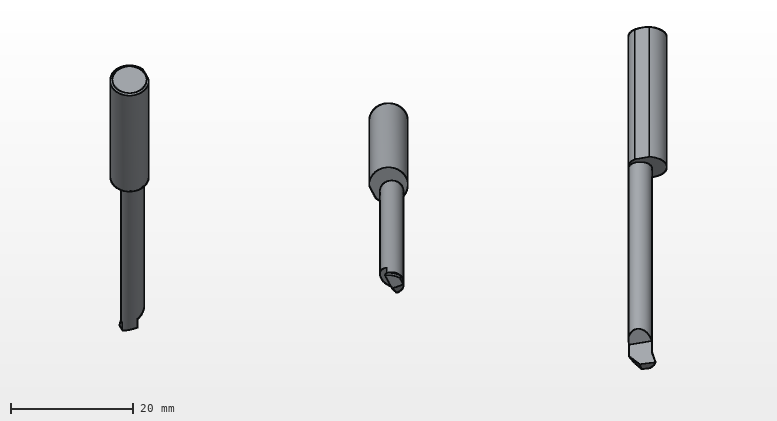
import cadquery as cq

total_length = 63.5
shank_length = 25.4
shank_radius = 3.2
shank_flat_y = 2.9
shank_bottom = total_length - shank_length

chamfer_height = 0.2
chamfer_width = 0.4

neck_radius = 1.935
neck_x = shank_radius - neck_radius

rake_runout_low = 4.25
rake_runout_high = 5.8

head_height = 2.15
tip_x = -1.4
head_lean = 0.65
facet_left = 0.1
facet_right = 1.35
flank_bulge = 0.1
end_slope_x = 0.05
end_slope_y = 0.12
back_chamfer_top = 2.0

margin = 1.3


def end_height(x, y):
    """Height of the sloping end face, lowest at the cutting tip."""
    return end_slope_x * (x - tip_x) - end_slope_y * y


def make_shank():
    shank = cq.Workplane("XY").workplane(offset=shank_bottom).circle(shank_radius).extrude(shank_length)
    shank = shank.faces(">Z").chamfer(chamfer_height, chamfer_width)
    flat_cut = cq.Workplane("XY").box(
        2 * shank_radius, margin, shank_length, centered=(True, False, False)
    ).translate((0, shank_flat_y, shank_bottom))
    return shank.cut(flat_cut)


def make_neck():
    neck = cq.Workplane("XY").center(neck_x, 0).circle(neck_radius).extrude(shank_bottom)
    outer_y = neck_radius + margin
    runout_slope = (rake_runout_high - rake_runout_low) / neck_radius
    rake_cut = (
        cq.Workplane("YZ")
        .moveTo(0, -margin)
        .lineTo(outer_y, -margin)
        .lineTo(outer_y, rake_runout_low + runout_slope * outer_y)
        .lineTo(0, rake_runout_low)
        .close()
        .extrude(2 * shank_radius, both=True)
    )
    head_space = cq.Workplane("XY").box(
        2 * shank_radius, 2 * shank_radius, head_height, centered=(False, True, False)
    ).translate((facet_right - 2 * shank_radius, 0, 0))
    return neck.cut(rake_cut).cut(head_space)


def head_section(z, lean):
    """Head outline: rake edge, convex flank and front facet."""
    middle_x = (tip_x + facet_left) / 2 + lean - flank_bulge
    middle_y = -neck_radius / 2 - flank_bulge
    outline = (
        cq.Workplane("XY")
        .workplane(offset=z)
        .moveTo(facet_right, 0)
        .lineTo(tip_x + lean, 0)
        .threePointArc((middle_x, middle_y), (facet_left + lean, -neck_radius))
        .lineTo(facet_right, -neck_radius)
        .close()
    )
    return outline.wires().val()


def make_head():
    sections = [head_section(0, 0), head_section(head_height, head_lean)]
    return cq.Workplane(cq.Solid.makeLoft(sections, True))


def end_cut():
    """Wedge under the sloping end face."""
    reach = 2 * shank_radius

    def section(y):
        return cq.Wire.makePolygon(
            [
                cq.Vector(-reach, y, -reach),
                cq.Vector(reach, y, -reach),
                cq.Vector(reach, y, end_height(reach, y)),
                cq.Vector(-reach, y, end_height(-reach, y)),
            ],
            close=True,
        )

    return cq.Workplane(cq.Solid.makeLoft([section(-reach), section(reach)], True))


def back_chamfer_cut():
    """Triangular prism that relieves the +X lower corner."""
    return (
        cq.Workplane("XZ")
        .moveTo(facet_right, end_height(facet_right, 0))
        .lineTo(shank_radius, back_chamfer_top)
        .lineTo(shank_radius + margin, back_chamfer_top)
        .lineTo(shank_radius + margin, -margin)
        .lineTo(facet_right, -margin)
        .close()
        .extrude(2 * shank_radius, both=True)
    )


tool = make_shank().union(make_neck()).union(make_head())
result = tool.cut(end_cut()).cut(back_chamfer_cut())